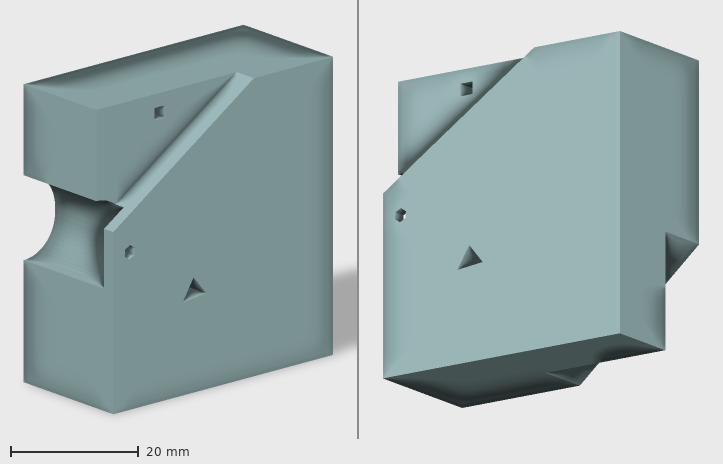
import cadquery as cq
import math

THICKNESS = 21.41
DEPTH = 45.69
HEIGHT = 49.18

SLOPE_CUT_START_X = 17.33
SLOPE_FRONT_Z = 30.05
SLOPE_BEND_Y = 7.69
SLOPE_BEND_Z = 35.12
SLOPE_TOP_Y = 29.2

CORNER_CUT_DEPTH_X = 9.17
CORNER_CUT_SIZE_Y = 23.0
CORNER_CUT_SIZE_Z = 19.3

GROOVE_END_X = 19.2
GROOVE_RADIUS = 6.5
GROOVE_FLAT = 1.0
GROOVE_CENTER_Z = 27.15

WINDOW_WIDTH_Y = 2.3
WINDOW_HEIGHT_Z = 2.05
WINDOW_CENTER_Y = 13.25
WINDOW_CENTER_Z = 45.9

TRIANGLE_CORNERS = [(16.67, 19.0), (19.25, 15.85), (14.4, 15.35)]

HEX_CIRCUMRADIUS = 1.15
HEX_CENTER_Y = 3.4
HEX_CENTER_Z = 26.0
HEX_ROTATION = 24
FULL_TURN = 360
HEX_SIDES = 6


def prism(outline, start_x, end_x):
    """Extrude a closed (y, z) polygon along X from start_x to end_x."""
    sketch = cq.Workplane("YZ", origin=(start_x, 0, 0)).polyline(outline).close()
    return sketch.extrude(end_x - start_x)


def slope_cut():
    outline = [
        (0, SLOPE_FRONT_Z),
        (SLOPE_BEND_Y, SLOPE_BEND_Z),
        (SLOPE_TOP_Y, HEIGHT),
        (0, HEIGHT),
    ]
    return prism(outline, SLOPE_CUT_START_X, THICKNESS)


def corner_cut():
    outline = [
        (DEPTH, 0),
        (DEPTH, CORNER_CUT_SIZE_Z),
        (DEPTH - CORNER_CUT_SIZE_Y, 0),
    ]
    return prism(outline, 0, CORNER_CUT_DEPTH_X)


def groove():
    """Slot with two round ends, centred on the front face so that half of it cuts."""
    slot_length = GROOVE_FLAT + 2 * GROOVE_RADIUS
    return (
        cq.Workplane("YZ")
        .center(0, GROOVE_CENTER_Z)
        .slot2D(slot_length, 2 * GROOVE_RADIUS, angle=90)
        .extrude(GROOVE_END_X)
    )


def square_window():
    return (
        cq.Workplane("YZ")
        .center(WINDOW_CENTER_Y, WINDOW_CENTER_Z)
        .rect(WINDOW_WIDTH_Y, WINDOW_HEIGHT_Z)
        .extrude(THICKNESS)
    )


def triangle_window():
    return prism(TRIANGLE_CORNERS, 0, THICKNESS)


def hexagon_hole():
    corners = []
    for index in range(HEX_SIDES):
        angle = math.radians(HEX_ROTATION + index * FULL_TURN / HEX_SIDES)
        y = HEX_CENTER_Y + HEX_CIRCUMRADIUS * math.cos(angle)
        z = HEX_CENTER_Z + HEX_CIRCUMRADIUS * math.sin(angle)
        corners.append((y, z))
    return prism(corners, GROOVE_END_X, THICKNESS)


result = cq.Workplane("XY").box(THICKNESS, DEPTH, HEIGHT, centered=False)
for cutter in (
    slope_cut(),
    corner_cut(),
    groove(),
    square_window(),
    triangle_window(),
    hexagon_hole(),
):
    result = result.cut(cutter)